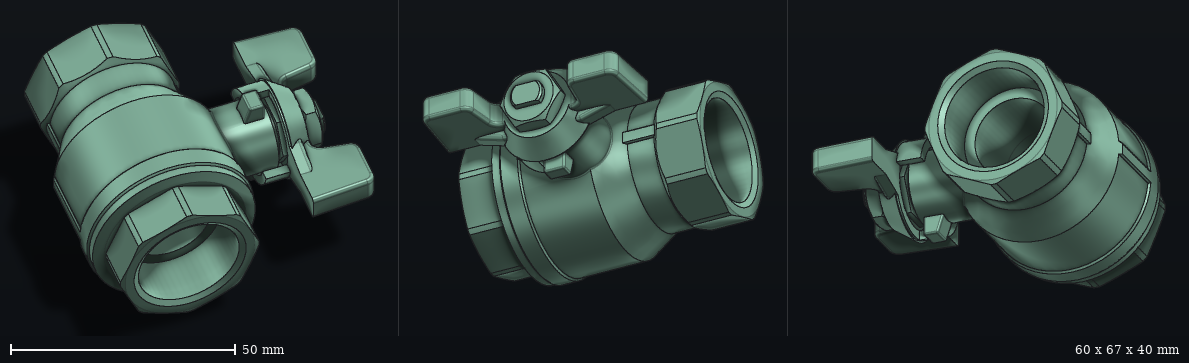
import cadquery as cq
import math


selection_margin = 0.1

half_length = 30.0
octagon_sides = 8
octagon_corner_radius = 16.6
octagon_flat_radius = 15.6
octagon_end_bevel = 0.3
octagon_end_face_radius = 15.55
octagon_back_x = -19.6
neck_start_x = -18.15
neck_radius = 15.0
cone_start_x = -11.5
barrel_start_x = -3.8
barrel_radius = 19.5
flange_start_x = 13.0
flange_radius = 40.0 / 2
flange_edge_bevel = 0.435
cap_ring_start_x = 18.1
cap_ring_end_x = 20.8
cap_ring_radius = 19.5
cap_ring_bevel_length = 0.75
cap_ring_face_radius = 16.95

seam_foot_width = 3.3
seam_crest_width = 2.6
neck_seam_radius = 15.55

bore_radius = 9.5
socket_radius = 12.05
socket_depth = 12.25
socket_mouth_radius = 13.4
socket_mouth_depth = 0.8

stem_radius = 8.5
stem_root_fillet = 0.5
stem_top_y = 29.55
gland_radius = 6.1
washer_corner_diameter = 16.35
washer_bottom_y = 30.7
spindle_radius = 8.0 / 2
spindle_top_y = 42.6
spindle_flat_half_gap = 2.55
spindle_bevel = 0.5

lug_width = 5.2
lug_top_y = 28.4
lug_height = 3.5
lug_foot_radius = 7.4
lug_foot_drop = 1.7
lug_reach = 12.45
lug_edge_radius = 0.5

overall_height = 67
handle_bottom_y = 31.4
handle_top_y = overall_height - flange_radius
handle_half_thickness = 3.1
handle_deck_y = 37.0
wing_bottom_x = 25.05
wing_outer_top_x = 24.2
wing_inner_top_x = 12.05
wing_inner_foot_x = 10.4
wing_corner_radius = 2.4
wing_foot_radius = 2.2
wing_edge_radius = 0.95

hub_rim_radius = 11.7
hub_rim_height = 0.5
hub_top_radius = 8.3
hub_recess_depth = 0.7

gusset_tip_x = 16.9
gusset_root_x = 9.7
gusset_root_z = 5.2
gusset_height = 3.4
gusset_edge_radius = 0.95

skirt_outer_radius = 11.25
skirt_inner_radius = 18.0 / 2
skirt_bottom_y = 25.5
skirt_end_offset = 2.55

nut_corner_diameter = 15.2
nut_height = 4.0
nut_bevel_height = 0.9
nut_face_radius = 6.15


def revolve_about_x(points):
    """Solid of revolution about X from (x, radius) points; the axis closes it."""
    outline = [(points[0][0], 0), *points, (points[-1][0], 0)]
    return cq.Workplane("XY").polyline(outline).close().revolve(360, (0, 0, 0), (1, 0, 0))


def revolve_about_y(points):
    """Solid of revolution about Y from (radius, y) points; the axis closes it."""
    outline = [(0, points[0][1]), *points, (0, points[-1][1])]
    return cq.Workplane("XY").polyline(outline).close().revolve(360, (0, 0, 0), (0, 1, 0))


def cylinder_y(radius, bottom_y, top_y):
    return revolve_about_y([(radius, bottom_y), (radius, top_y)])


def block(x_range, y_range, z_range):
    size = [high - low for low, high in (x_range, y_range, z_range)]
    corner = cq.Vector(x_range[0], y_range[0], z_range[0])
    return cq.Workplane(cq.Solid.makeBox(*size, corner))


def hexagon_prism_y(corner_diameter, bottom_y, height):
    """Hexagonal prism along +Y with a corner on the X axis."""
    base = cq.Workplane("XZ", origin=(0, bottom_y, 0))
    return base.polygon(6, corner_diameter).extrude(-height)


def octagon_prism(start_x, length):
    corner_diameter = 2 * octagon_flat_radius / math.cos(math.pi / octagon_sides)
    base = cq.Workplane("YZ", origin=(start_x, 0, 0))
    return base.polygon(octagon_sides, corner_diameter).extrude(length)


def octagon_ends():
    left_envelope = revolve_about_x([
        (-half_length, octagon_end_face_radius),
        (-half_length + octagon_end_bevel, octagon_corner_radius),
        (octagon_back_x, octagon_corner_radius),
        (neck_start_x, neck_radius),
    ])
    left = octagon_prism(-half_length, half_length + neck_start_x).intersect(left_envelope)
    right_envelope = revolve_about_x([
        (barrel_start_x, octagon_corner_radius),
        (half_length - octagon_end_bevel, octagon_corner_radius),
        (half_length, octagon_end_face_radius),
    ])
    right = octagon_prism(barrel_start_x, half_length - barrel_start_x).intersect(right_envelope)
    return left, right


def barrel():
    return revolve_about_x([
        (neck_start_x, neck_radius),
        (cone_start_x, neck_radius),
        (barrel_start_x, barrel_radius),
        (flange_start_x, barrel_radius),
        (flange_start_x + flange_edge_bevel, flange_radius),
        (cap_ring_start_x - flange_edge_bevel, flange_radius),
        (cap_ring_start_x, cap_ring_radius),
        (cap_ring_end_x - cap_ring_bevel_length, cap_ring_radius),
        (cap_ring_end_x, cap_ring_face_radius),
    ])


def seam_rib(foot_radius, crest_radius, envelope_points):
    """Pair of tapered ribs on the +Y and -Y sides, bounded by a revolved envelope."""
    foot = seam_foot_width / 2
    crest = seam_crest_width / 2
    section = [
        (-crest_radius, -crest),
        (-foot_radius, -foot),
        (foot_radius, -foot),
        (crest_radius, -crest),
        (crest_radius, crest),
        (foot_radius, foot),
        (-foot_radius, foot),
        (-crest_radius, crest),
    ]
    slab = cq.Workplane("YZ").polyline(section).close().extrude(half_length, both=True)
    return slab.intersect(revolve_about_x(envelope_points))


def seam_ribs():
    """Ribs that meet the straight extension of the cone between neck and barrel."""
    cone_slope = (barrel_radius - neck_radius) / (barrel_start_x - cone_start_x)
    neck_seam_end_x = cone_start_x + (neck_seam_radius - neck_radius) / cone_slope
    barrel_seam_start_x = barrel_start_x + (flange_radius - barrel_radius) / cone_slope
    neck_seam = seam_rib(neck_radius, neck_seam_radius, [
        (octagon_back_x, neck_seam_radius),
        (neck_seam_end_x, neck_seam_radius),
    ])
    barrel_seam = seam_rib(barrel_radius, flange_radius, [
        (cone_start_x, neck_radius),
        (barrel_seam_start_x, flange_radius),
        (cap_ring_start_x - flange_edge_bevel, flange_radius),
    ])
    return neck_seam.union(barrel_seam)


def bore():
    half = revolve_about_x([
        (0, bore_radius),
        (half_length - socket_depth, bore_radius),
        (half_length - socket_depth, socket_radius),
        (half_length - socket_mouth_depth, socket_radius),
        (half_length, socket_mouth_radius),
    ])
    return half.union(half.mirror("YZ"))


def stem():
    hub_recess_top_y = handle_bottom_y + hub_recess_depth
    post = cylinder_y(stem_radius, 0, stem_top_y)
    gland = cylinder_y(gland_radius, stem_top_y, hub_recess_top_y)
    washer = hexagon_prism_y(washer_corner_diameter, washer_bottom_y, hub_recess_top_y - washer_bottom_y)
    return post.union(gland).union(washer)


def stem_with_root_fillet(shell):
    """Join the stem to the shell and round the seam line between them."""
    root_zone = cq.selectors.BoxSelector(
        (-stem_radius, neck_radius, -stem_radius),
        (stem_radius, flange_radius, stem_radius),
    )
    return shell.union(stem()).edges(root_zone).fillet(stem_root_fillet)


def stop_lugs():
    lug_bottom_y = lug_top_y - lug_height
    outline = [
        (lug_top_y, -lug_reach),
        (lug_bottom_y, -lug_reach),
        (lug_bottom_y - lug_foot_drop, -lug_foot_radius),
        (lug_bottom_y - lug_foot_drop, lug_foot_radius),
        (lug_bottom_y, lug_reach),
        (lug_top_y, lug_reach),
    ]
    bar = cq.Workplane("YZ").polyline(outline).close().extrude(lug_width / 2, both=True)
    return bar.edges().fillet(lug_edge_radius)


def spindle():
    rod = revolve_about_y([
        (spindle_radius, handle_bottom_y),
        (spindle_radius, spindle_top_y - spindle_bevel),
        (spindle_radius - spindle_bevel, spindle_top_y),
    ])
    flats = block(
        (-spindle_radius, spindle_radius),
        (handle_bottom_y, spindle_top_y),
        (-spindle_flat_half_gap, spindle_flat_half_gap),
    )
    return rod.intersect(flats)


def wings():
    right_half = [
        (wing_inner_foot_x, handle_deck_y),
        (wing_inner_top_x, handle_top_y),
        (wing_outer_top_x, handle_top_y),
        (wing_bottom_x, handle_bottom_y),
    ]
    left_half = [(-x, y) for x, y in reversed(right_half)]
    plate = cq.Workplane("XY").polyline(right_half + left_half).close()
    plate = plate.extrude(handle_half_thickness, both=True)
    plate = plate.edges("|Z and >Y").fillet(wing_corner_radius)
    foot_zone = cq.selectors.BoxSelector(
        (-wing_inner_foot_x - selection_margin, handle_deck_y - selection_margin, -selection_margin),
        (wing_inner_foot_x + selection_margin, handle_deck_y + selection_margin, selection_margin),
    )
    plate = plate.edges("|Z").edges(foot_zone).fillet(wing_foot_radius)
    return plate.edges("(>Z or <Z) and (not <Y)").fillet(wing_edge_radius)


def hub():
    return revolve_about_y([
        (skirt_outer_radius, handle_bottom_y),
        (skirt_outer_radius, handle_bottom_y + hub_rim_height),
        (hub_rim_radius, handle_bottom_y + hub_rim_height),
        (hub_top_radius, handle_deck_y),
    ])


def gussets():
    """Low diamond-shaped web that widens the handle towards the hub."""
    outline = [
        (gusset_tip_x, handle_half_thickness),
        (gusset_root_x, gusset_root_z),
        (-gusset_root_x, gusset_root_z),
        (-gusset_tip_x, handle_half_thickness),
        (-gusset_tip_x, -handle_half_thickness),
        (-gusset_root_x, -gusset_root_z),
        (gusset_root_x, -gusset_root_z),
        (gusset_tip_x, -handle_half_thickness),
    ]
    web = cq.Workplane("XZ", origin=(0, handle_bottom_y, 0)).polyline(outline).close()
    return web.extrude(-gusset_height).faces(">Y").edges().fillet(gusset_edge_radius)


def hub_recess():
    return cylinder_y(skirt_inner_radius, handle_bottom_y, handle_bottom_y + hub_recess_depth)


def skirt_quarters():
    ring = cylinder_y(skirt_outer_radius, skirt_bottom_y, handle_bottom_y)
    ring = ring.cut(cylinder_y(skirt_inner_radius, skirt_bottom_y, handle_bottom_y))
    positive_side = (skirt_end_offset, skirt_outer_radius)
    negative_side = (-skirt_outer_radius, -skirt_end_offset)
    y_range = (skirt_bottom_y, handle_bottom_y)
    left_upper = block(negative_side, y_range, positive_side)
    right_lower = block(positive_side, y_range, negative_side)
    return ring.intersect(left_upper.union(right_lower))


def nut():
    corner_radius = nut_corner_diameter / 2
    nut_top_y = handle_deck_y + nut_height
    envelope = revolve_about_y([
        (nut_face_radius, handle_deck_y),
        (corner_radius, handle_deck_y + nut_bevel_height),
        (corner_radius, nut_top_y - nut_bevel_height),
        (nut_face_radius, nut_top_y),
    ])
    return hexagon_prism_y(nut_corner_diameter, handle_deck_y, nut_height).intersect(envelope)


body = stem_with_root_fillet(barrel()).union(seam_ribs())
for octagon in octagon_ends():
    body = body.union(octagon)
body = body.union(stop_lugs()).cut(bore())

handle = wings().union(hub()).union(gussets()).union(skirt_quarters())
handle = handle.union(nut()).union(spindle()).cut(hub_recess())

result = body.union(handle)